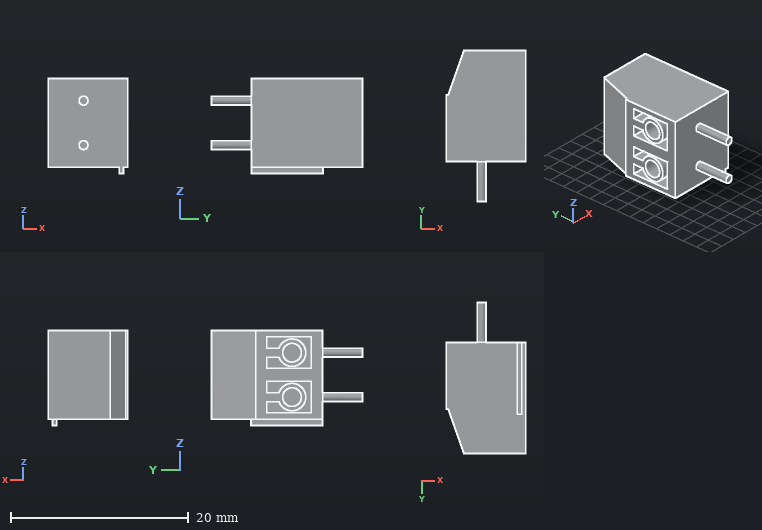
import cadquery as cq

width = 9.0
length = 12.5
height = 10.0
step_y = 7.5
step_depth = 0.24
slope_inset = 2.0

pole_pitch = height / 2
pole_heights = [pole_pitch / 2, pole_pitch * 3 / 2]

pin_diameter = 1.0
pin_length = 17 - length
pin_x = 4.0

pocket_start_y = 1.25
pocket_end_y = 6.25
pocket_height = 3.54
pocket_depth = 2.0
tube_y = 3.43
tube_radius = 1.55
bore_radius = 1.05
web_thickness = 1.0

rib_x = 8.0
rib_width = 0.5
rib_height = 0.7
rib_length = 8.05


def make_housing():
    outline = [
        (0, 0),
        (width, 0),
        (width, length),
        (slope_inset, length),
        (step_depth, step_y),
        (0, step_y),
    ]
    return cq.Workplane("XY").polyline(outline).close().extrude(height)


def make_entry_cavity(z):
    """Rectangular pocket around a bored tube, which a web joins to the +Y wall."""
    pocket = cq.Workplane("XY").box(
        pocket_depth, pocket_end_y - pocket_start_y, pocket_height, centered=(False, False, True)
    ).translate((0, pocket_start_y, z))
    tube = cq.Workplane("YZ").center(tube_y, z).circle(tube_radius).extrude(pocket_depth)
    web = cq.Workplane("XY").box(
        pocket_depth, pocket_end_y - tube_y, web_thickness, centered=(False, False, True)
    ).translate((0, tube_y, z))
    bore = cq.Workplane("YZ").center(tube_y, z).circle(bore_radius).extrude(pocket_depth)
    return pocket.cut(tube).cut(web).union(bore)


def make_pin(z):
    return cq.Workplane("XZ").center(pin_x, z).circle(pin_diameter / 2).extrude(pin_length)


def make_rib():
    return cq.Workplane("XY").box(
        rib_width, rib_length, rib_height, centered=False
    ).translate((rib_x, 0, -rib_height))


result = make_housing().union(make_rib())
for pole_z in pole_heights:
    result = result.cut(make_entry_cavity(pole_z)).union(make_pin(pole_z))